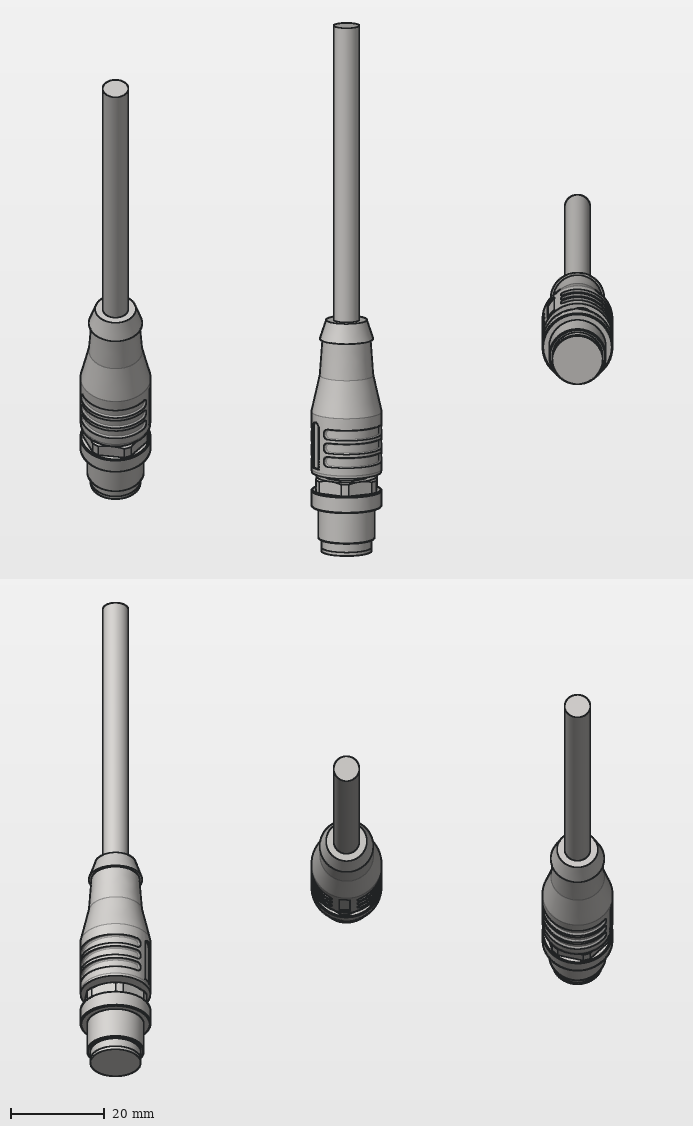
import cadquery as cq
import math

CAP_HEIGHT = 0.8
BARREL_BOTTOM = 2.8
COLLAR_BOTTOM = 9.7
HEX_BOTTOM = 13.4
NUT_TOP = 16.3
GRIP_BOTTOM = 17.3
SHOULDER_HEIGHT = 30.5
WAIST_HEIGHT = 38.4
HEAD_BOTTOM = 46.3
GRIP_TOP = 50.5
CABLE_TOP = 114.7

CABLE_RADIUS = 2.8

BODY_RADIUS = 7.51
WAIST_RADIUS = 5.7
NECK_RADIUS = 5.2
HEAD_RADIUS = 5.7
HEAD_TOP_RADIUS = 4.4
FOOT_TAPER_WIDTH = 0.06
FOOT_TAPER_HEIGHT = 0.7
GRIP_TURN = 12.0

GROOVE_COUNT = 3
GROOVE_PITCH = 3.0
GROOVE_HEIGHT = 2.2
GROOVE_DEPTH = 0.6
GROOVE_SWEEP = 137.0
GROOVE_END_ROUND = 1.0
GROOVE_FLOOR_FILLET = 0.2
LOWEST_GROOVE_CENTER = 20.8

POCKET_WIDTH = 2.3
POCKET_BOTTOM = 18.7
POCKET_TOP = 28.8
POCKET_DEPTH = 0.3
POCKET_TOP_ROUND = 0.9

COLLAR_RADIUS = BODY_RADIUS
COLLAR_CHAMFER = 0.2
BARREL_RADIUS = 6.1
BARREL_CHAMFER = 0.2
TIP_RADIUS = 5.4
HEX_ACROSS_FLATS = 12.8
HEX_CORNER_RADIUS = 7.0
HEX_BEVEL_HEIGHT = 0.3
HEX_TURN = 11.5

INSERT_RADIUS = 4.6
CAP_RADIUS = TIP_RADIUS


def revolve_profile(points):
    """Solid of revolution about Z from (radius, height) points."""
    return cq.Workplane("XZ").polyline(points).close().revolve(360, (0, 0), (0, 1))


def turn_about_z(body, angle):
    return body.rotate((0, 0, 0), (0, 0, 1), angle)


def make_cable():
    """Round cable that runs down through the grip to the insert."""
    length = CABLE_TOP - GRIP_BOTTOM
    return cq.Workplane("XY").workplane(offset=GRIP_BOTTOM).circle(CABLE_RADIUS).extrude(length)


def make_insert():
    """Core that passes through the nut, with a wider cap below it."""
    return revolve_profile([
        (0, 0),
        (CAP_RADIUS, 0),
        (CAP_RADIUS, CAP_HEIGHT),
        (INSERT_RADIUS, CAP_HEIGHT),
        (INSERT_RADIUS, GRIP_BOTTOM),
        (0, GRIP_BOTTOM),
    ])


def make_nut_flats():
    """Everything around the hexagon, to cut the six flats."""
    height = NUT_TOP - HEX_BOTTOM
    across_corners = HEX_ACROSS_FLATS / math.cos(math.pi / 6)
    base = cq.Workplane("XY").workplane(offset=HEX_BOTTOM)
    hexagon = base.polygon(6, across_corners).extrude(height)
    return base.circle(COLLAR_RADIUS).extrude(height).cut(turn_about_z(hexagon, HEX_TURN))


def make_nut():
    """Coupling nut: tip, barrel, collar and a hexagon with rounded corners."""
    turned = revolve_profile([
        (INSERT_RADIUS, CAP_HEIGHT),
        (TIP_RADIUS, CAP_HEIGHT),
        (TIP_RADIUS, BARREL_BOTTOM),
        (BARREL_RADIUS - BARREL_CHAMFER, BARREL_BOTTOM),
        (BARREL_RADIUS, BARREL_BOTTOM + BARREL_CHAMFER),
        (BARREL_RADIUS, COLLAR_BOTTOM),
        (COLLAR_RADIUS - COLLAR_CHAMFER, COLLAR_BOTTOM),
        (COLLAR_RADIUS, COLLAR_BOTTOM + COLLAR_CHAMFER),
        (COLLAR_RADIUS, HEX_BOTTOM - COLLAR_CHAMFER),
        (COLLAR_RADIUS - COLLAR_CHAMFER, HEX_BOTTOM),
        (HEX_CORNER_RADIUS, HEX_BOTTOM),
        (HEX_CORNER_RADIUS, NUT_TOP - HEX_BEVEL_HEIGHT),
        (HEX_ACROSS_FLATS / 2, NUT_TOP),
        (INSERT_RADIUS, NUT_TOP),
    ])
    return turned.cut(make_nut_flats()).solids()


def make_groove(center_height):
    """Ring segment centred on -Y, with rounded ends and a filleted floor."""
    floor_radius = BODY_RADIUS - GROOVE_DEPTH
    segment = (
        cq.Workplane("XZ")
        .center(BODY_RADIUS, center_height)
        .rect(2 * GROOVE_DEPTH, GROOVE_HEIGHT)
        .revolve(GROOVE_SWEEP, (-BODY_RADIUS, 0), (-BODY_RADIUS, 1))
    )
    middle = segment.val().Center()
    middle_angle = math.degrees(math.atan2(middle.y, middle.x))
    segment = turn_about_z(segment, -90 - middle_angle)
    rounded = segment.edges("%LINE").edges("not |Z").fillet(GROOVE_END_ROUND)
    floor = cq.selectors.NearestToPointSelector((0, -floor_radius / 2, center_height))
    return rounded.faces(floor).edges().fillet(GROOVE_FLOOR_FILLET)


def make_pocket():
    """Cutter for the pocket on the -X side, with rounded upper corners."""
    height = POCKET_TOP - POCKET_BOTTOM
    pocket = (
        cq.Workplane("XY")
        .box(2 * POCKET_DEPTH, POCKET_WIDTH, height, centered=(True, True, False))
        .edges(">Z and |X")
        .fillet(POCKET_TOP_ROUND)
    )
    return pocket.translate((-BODY_RADIUS, 0, POCKET_BOTTOM))


def make_grip():
    """Moulded grip, bored for the cable, with grooves and pockets on opposite sides."""
    grip = revolve_profile([
        (CABLE_RADIUS, GRIP_BOTTOM),
        (BODY_RADIUS - FOOT_TAPER_WIDTH, GRIP_BOTTOM),
        (BODY_RADIUS, GRIP_BOTTOM + FOOT_TAPER_HEIGHT),
        (BODY_RADIUS, SHOULDER_HEIGHT),
        (WAIST_RADIUS, WAIST_HEIGHT),
        (NECK_RADIUS, HEAD_BOTTOM),
        (HEAD_RADIUS, HEAD_BOTTOM),
        (HEAD_TOP_RADIUS, GRIP_TOP),
        (CABLE_RADIUS, GRIP_TOP),
    ])
    cutters = [make_pocket()]
    for index in range(GROOVE_COUNT):
        cutters.append(make_groove(LOWEST_GROOVE_CENTER + index * GROOVE_PITCH))
    for cutter in cutters:
        for side_angle in (0, 180):
            grip = grip.cut(turn_about_z(cutter, side_angle))
    return turn_about_z(grip, GRIP_TURN).solids()


cable = make_cable()
grip = make_grip()
nut = make_nut()
insert = make_insert()

result = cq.Compound.makeCompound([cable.val(), grip.val(), nut.val(), insert.val()])